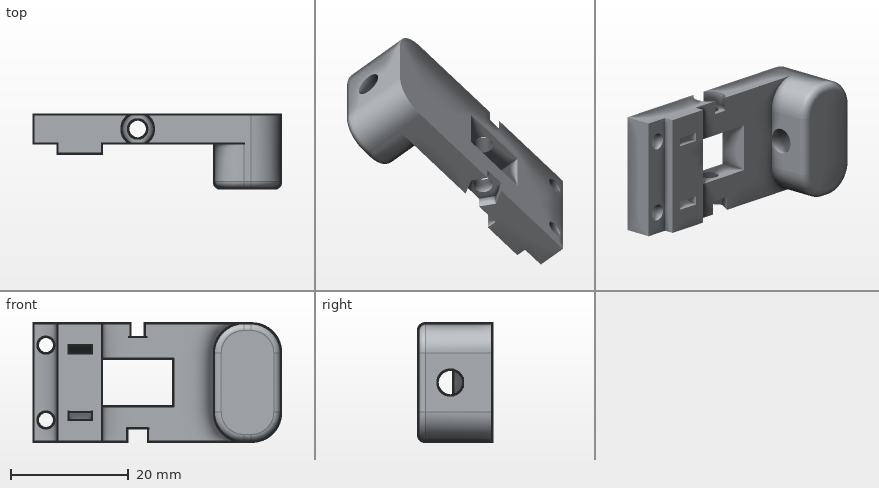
import cadquery as cq
import math

length = 42.1
depth = 12.62
height = 20.15
mid_z = height / 2

plate_depth = 4.95

bar_start = 4.1
bar_width = 7.6
bar_depth = 6.7
bar_end = bar_start + bar_width

pad_width = 11.45
pad_corner_radius = 5.1
pad_edge_radius = 1.25
pad_center_x = length - pad_width / 2
pad_hole_diameter = 4.35
pad_hole_depth = plate_depth + pad_hole_diameter / 2

window_length = 12.05
window_height = 8.0

mount_hole_diameter = 2.78
mount_hole_x = 2.15
mount_hole_spacing = 12.7

screw_diameter = 3.2
screw_x = 17.7
recess_width = 5.5
recess_depth = 2.3

strap_start = 5.98
strap_width = 4.0
strap_thickness = 1.45
channel_radius = 6.4


def block(x, z, size_x, size_y, size_z):
    """Block from the back face forward, with its lower left corner at (x, z)."""
    return cq.Workplane("XY").box(size_x, size_y, size_z, centered=False).translate((x, -size_y, z))


def make_pad():
    pad = block(length - pad_width, 0, pad_width, depth, height)
    pad = pad.edges("|Y").fillet(pad_corner_radius)
    return pad.faces("<Y").edges().fillet(pad_edge_radius)


def make_screw_cut():
    """Through bore and both recesses, centred in the plate depth."""
    center_y = -plate_depth / 2
    base = cq.Workplane("XY").center(screw_x, center_y)
    bore = base.circle(screw_diameter / 2).extrude(height)
    nut_corner_diameter = recess_width / math.cos(math.radians(30))
    nut = base.polygon(6, nut_corner_diameter).extrude(recess_depth)
    head = base.workplane(offset=height - recess_depth).circle(recess_width / 2).extrude(recess_depth)
    return bore.union(nut).union(head)


def make_strap_channel():
    """Ring around an axis along X, on the middle of the bar's front face."""
    return (
        cq.Workplane("YZ", origin=(strap_start, -bar_depth, mid_z))
        .circle(channel_radius)
        .circle(channel_radius - strap_thickness)
        .extrude(strap_width)
    )


plate = block(0, 0, pad_center_x, plate_depth, height)
bar = block(bar_start, 0, bar_width, bar_depth, height)
body = plate.union(bar).union(make_pad())

window = block(bar_end, mid_z - window_height / 2, window_length, plate_depth, window_height)

mount_holes = (
    cq.Workplane("XZ")
    .pushPoints([(mount_hole_x, mid_z + side * mount_hole_spacing / 2) for side in (-1, 1)])
    .circle(mount_hole_diameter / 2)
    .extrude(plate_depth)
)

pad_hole = (
    cq.Workplane("YZ", origin=(length - pad_width, -pad_hole_depth, mid_z))
    .circle(pad_hole_diameter / 2)
    .extrude(pad_width)
)

result = body.cut(window).cut(mount_holes).cut(pad_hole).cut(make_screw_cut()).cut(make_strap_channel())